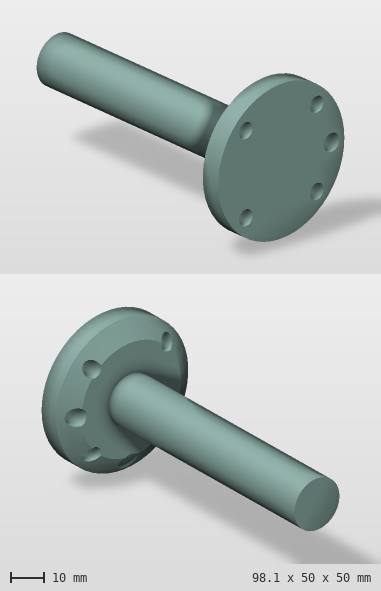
import cadquery as cq
import math

length = 98.1
flange_radius = 25.0
shaft_radius = 8.5

flange_thickness = 11.1
rim_thickness = 6.9
front_face_radius = 18.8

hole_circle_radius = 19.9
corner_hole_diameter = 5.4
side_hole_diameter = 6.1

recess_mouth_diameter = 7.5
recess_floor_diameter = 6.2
recess_depth = 0.6
recess_center_radius = 21.0
recess_clearance = 0.5

back_x = length / 2
flange_front_x = back_x - flange_thickness
rim_front_x = back_x - rim_thickness


def turned_body():
    """Shaft and flange as one revolved half profile."""
    return (
        cq.Workplane("XY")
        .moveTo(-length / 2, 0)
        .lineTo(-length / 2, shaft_radius)
        .lineTo(flange_front_x, shaft_radius)
        .lineTo(flange_front_x, front_face_radius)
        .lineTo(rim_front_x, flange_radius)
        .lineTo(back_x, flange_radius)
        .lineTo(back_x, 0)
        .close()
        .revolve(360, (0, 0, 0), (1, 0, 0))
    )


def through_hole(diameter, angle):
    """Cutter through the flange, at an angle from +Y toward +Z."""
    y = hole_circle_radius * math.cos(math.radians(angle))
    z = hole_circle_radius * math.sin(math.radians(angle))
    start = cq.Vector(flange_front_x, y, z)
    return cq.Solid.makeCylinder(diameter / 2, flange_thickness, start, cq.Vector(1, 0, 0))


def cone_recess():
    """Shallow tapered cutter whose floor is parallel to the cone's -Z line."""
    cone_length = flange_thickness - rim_thickness
    cone_rise = flange_radius - front_face_radius
    inward = cq.Vector(cone_rise, 0, cone_length).normalized()
    along_cone = (recess_center_radius - front_face_radius) / cone_rise
    center = cq.Vector(flange_front_x + along_cone * cone_length, 0, -recess_center_radius)
    start = center - inward * recess_clearance
    mouth_radius = recess_mouth_diameter / 2
    floor_radius = recess_floor_diameter / 2
    taper = (mouth_radius - floor_radius) / recess_depth
    start_radius = mouth_radius + taper * recess_clearance
    return cq.Solid.makeCone(start_radius, floor_radius, recess_depth + recess_clearance, start, inward)


result = turned_body()
for corner_angle in (45, 135, 225, 315):
    result = result.cut(through_hole(corner_hole_diameter, corner_angle))
result = result.cut(through_hole(side_hole_diameter, 0))
result = result.cut(cone_recess())